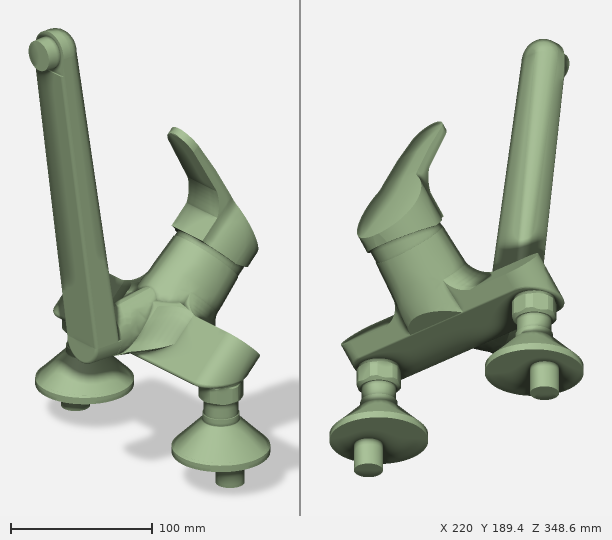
import cadquery as cq
import math


INLET_X = 75.0
PIPE_RADIUS = 10.3
PIPE_OFFSET = 10.0
PIPE_BOTTOM = -78.4
FLANGE_RADIUS = 35.0
FLANGE_BOTTOM = -58.2
FLANGE_RIM_TOP = -51.8
RIM_CHAMFER = 1.4
CONE_TOP_RADIUS = 14.2
CONE_TOP = -32.5
CONE_BASE_RADIUS = CONE_TOP_RADIUS + CONE_TOP - FLANGE_RIM_TOP
COLLAR_RADIUS = 13.2
COLLAR_TOP = -27.5
NECK_RADIUS = 12.3
NUT_FLATS = 30.0
NUT_ROUND_RADIUS = 16.0
NUT_TOP = -2.2
NUT_BOTTOM = -16.5
NUT_CHAMFER = 2.4
NUT_CHAMFER_TOP = 0.8
WASHER_RADIUS = 14.8

AXIS_SHIFT = 1.8
BARREL_START = 15.0
BARREL_START_RADIUS = 30.5
BARREL_END = 72.0
BARREL_END_RADIUS = 27.2
CARTRIDGE_RADIUS = 26.7
CARTRIDGE_END = 86.0
WING_RADIUS = 17.0
WING_END_X = 92.0
WING_START = -30.0
WING_TOP = 27.5
BLEND_TOP = 47.8
BLEND_TOP_RADIUS = 28.5
BLEND_FOOT_RADIUS = 44.0
BLEND_SAG = 0.3
BOTTOM_FILLET = 1.9

ARM_END_Y = -43.0
ARM_HALF_WIDTH = 16.8
ARM_HALF_HEIGHT = 17.0
ARM_ROOT_Y = 6.0
ARM_ROOT_Z = 21.0
ARM_ROOT_HALF_HEIGHT = 24.0
FLARE_HALF_WIDTH = 52.0
FLARE_END_HALF_WIDTH = 17.1
FLARE_HALF_HEIGHT = 18.5
FLARE_BEND = 0.3
FLARE_TOP = 45.0
FLARE_DEPTH = 13.5
FLARE_INNER_EDGE = -16.0

HANDLE_RADIUS = 28.9
CROWN_RADIUS = 120.0
CROWN_OVERHANG = 40.0
LEVER_ROOT_HALF_WIDTH = 17.0
LEVER_TIP_HALF_WIDTH = 14.0
LEVER_SHOULDER = -82.0
LEVER_END = -93.7
LEVER_BLEND = 8.0
SKIRT_FRONT = (31.6, 76.0)
SKIRT_BEND = (52.2, 56.4)
SKIRT_BACK = (77.8, 41.2)
CAP_BACK = (84.0, 46.9)
CAP_MIDDLE = (61.6, 99.3)
LEVER_TIP = (24.0, 160.0)
LEVER_TIP_MIDDLE = (21.2, 158.6)
LEVER_TIP_UNDER = (20.8, 155.0)
LEVER_ROOT_UNDER = (45.7, 110.0)
NECK_MIDDLE = (47.2, 101.0)
NECK_FRONT = (45.4, 89.8)

SPOUT_RADIUS = 16.7
SPOUT_ROOT_Z = 20.3
SPOUT_ROOT_BACK_Y = -43.0
SPOUT_ROOT_FRONT_Y = -66.2
SPOUT_ROOT_CORNER = 4.4
SPOUT_FRONT_CORNER = 2.2
HEAD_RADIUS = 15.6
HEAD_Z = 254.62
HEAD_BACK_Y = -77.4
HEAD_EDGE_Y = -98.6
HEAD_FACE_Y = -95.5
HEAD_FACE_BOTTOM_Z = 241.0
HEAD_CORNER = 11.4
NOZZLE_RADIUS = 12.2
NOZZLE_TIP_RADIUS = 11.2
NOZZLE_TIP_Y = -105.4

BIG = 400.0
EMBED = 5.0


def axis_point(distance):
    """Point on the leaning body axis."""
    along = distance / math.sqrt(2)
    return (0, along - AXIS_SHIFT, along + AXIS_SHIFT)


def tilted_plane(distance):
    """Plane square to the leaning body axis; its local Y points back and down."""
    return cq.Workplane(cq.Plane(origin=axis_point(distance), xDir=(1, 0, 0), normal=(0, 1, 1)))


def below(z):
    """Large block that fills the space under the given height."""
    return cq.Workplane("XY", origin=(0, 0, z - BIG / 2)).box(BIG, BIG, BIG)


def above(z):
    """Large block that fills the space over the given height."""
    return below(z + BIG)


def make_inlet(side):
    profile = [
        (0, FLANGE_BOTTOM),
        (FLANGE_RADIUS, FLANGE_BOTTOM),
        (FLANGE_RADIUS, FLANGE_RIM_TOP - RIM_CHAMFER),
        (FLANGE_RADIUS - RIM_CHAMFER, FLANGE_RIM_TOP),
        (CONE_BASE_RADIUS, FLANGE_RIM_TOP),
        (CONE_TOP_RADIUS, CONE_TOP),
        (COLLAR_RADIUS, CONE_TOP),
        (COLLAR_RADIUS, COLLAR_TOP),
        (NECK_RADIUS, COLLAR_TOP),
        (NECK_RADIUS, NUT_TOP),
        (WASHER_RADIUS, NUT_TOP),
        (WASHER_RADIUS, EMBED),
        (0, EMBED),
    ]
    turned = cq.Workplane("XZ").polyline(profile).close().revolve(360, (0, 0), (0, 1))
    nut_height = NUT_TOP - NUT_BOTTOM
    hexagon = cq.Workplane("XY", origin=(0, 0, NUT_BOTTOM))
    hexagon = hexagon.polygon(6, NUT_FLATS / math.cos(math.pi / 6)).extrude(nut_height)
    blank = cq.Workplane("XY", origin=(0, 0, NUT_BOTTOM)).circle(NUT_ROUND_RADIUS).extrude(nut_height)
    blank = blank.faces("<Z").chamfer(NUT_CHAMFER).faces(">Z").chamfer(NUT_CHAMFER_TOP)
    pipe = cq.Workplane("XY", origin=(side * PIPE_OFFSET, 0, PIPE_BOTTOM))
    pipe = pipe.circle(PIPE_RADIUS).extrude(FLANGE_BOTTOM - PIPE_BOTTOM + EMBED)
    inlet = turned.union(hexagon.intersect(blank)).union(pipe)
    return inlet.translate((side * INLET_X, 0, 0))


def make_barrel():
    """Tapered barrel around the cartridge, without the cartridge itself."""
    base = tilted_plane(BARREL_START).circle(BARREL_START_RADIUS)
    return base.workplane(offset=BARREL_END - BARREL_START).circle(BARREL_END_RADIUS).loft()


def wing_prism(start, end):
    """Length of the round-ended bar outline shared by both wings."""
    return tilted_plane(start).slot2D(2 * WING_END_X, 2 * WING_RADIUS).extrude(end - start)


def make_blend():
    """Concave skirt that leads from the wing tops into the barrel."""
    bend_radius = BLEND_TOP_RADIUS + BLEND_SAG * (BLEND_FOOT_RADIUS - BLEND_TOP_RADIUS)
    bend_height = BLEND_SAG * (BLEND_TOP - WING_TOP)
    plane = cq.Plane(origin=axis_point(WING_TOP), xDir=(1, 0, 0), normal=(0, -1, 1))
    skirt = (
        cq.Workplane(plane)
        .lineTo(BLEND_FOOT_RADIUS, 0)
        .threePointArc((bend_radius, bend_height), (BLEND_TOP_RADIUS, BLEND_TOP - WING_TOP))
        .lineTo(0, BLEND_TOP - WING_TOP)
        .close()
        .revolve(360, (0, 0), (0, 1))
    )
    return skirt.intersect(wing_prism(WING_TOP, BLEND_TOP))


def make_tapered_arm(half_width, root_half_width, root_half_height):
    """Horizontal elliptical arm that grows from the spout towards its root inside the body."""
    end = cq.Workplane("XZ", origin=(0, ARM_END_Y, SPOUT_ROOT_Z)).ellipse(half_width, ARM_HALF_HEIGHT)
    root = end.workplane(offset=ARM_END_Y - ARM_ROOT_Y).center(0, ARM_ROOT_Z - SPOUT_ROOT_Z)
    return root.ellipse(root_half_width, root_half_height).loft(ruled=True)


def make_flare():
    """Concave corners between the wings and the arm, running down the slope of the wing front."""
    tip = -WING_RADIUS - FLARE_DEPTH
    bend_x = ARM_HALF_WIDTH + FLARE_BEND * (FLARE_HALF_WIDTH - ARM_HALF_WIDTH)
    bend = -WING_RADIUS - FLARE_BEND * FLARE_DEPTH
    prism = (
        tilted_plane(WING_START)
        .moveTo(-FLARE_HALF_WIDTH, FLARE_INNER_EDGE)
        .lineTo(-FLARE_HALF_WIDTH, -WING_RADIUS)
        .threePointArc((-bend_x, bend), (-ARM_HALF_WIDTH, tip))
        .lineTo(ARM_HALF_WIDTH, tip)
        .threePointArc((bend_x, bend), (FLARE_HALF_WIDTH, -WING_RADIUS))
        .lineTo(FLARE_HALF_WIDTH, FLARE_INNER_EDGE)
        .close()
        .extrude(FLARE_TOP - WING_START)
    )
    return prism.intersect(make_tapered_arm(FLARE_END_HALF_WIDTH, FLARE_HALF_WIDTH, FLARE_HALF_HEIGHT))


def make_body():
    wings = wing_prism(WING_START, WING_TOP).cut(below(0))
    wings = wings.faces("<Z").edges().fillet(BOTTOM_FILLET)
    arm = make_tapered_arm(ARM_HALF_WIDTH, ARM_HALF_WIDTH, ARM_ROOT_HALF_HEIGHT)
    upper = make_barrel().union(make_blend()).union(arm).union(make_flare()).cut(below(0))
    cartridge = tilted_plane(BARREL_END - EMBED).circle(CARTRIDGE_RADIUS)
    return wings.union(upper).union(cartridge.extrude(CARTRIDGE_END - BARREL_END + EMBED))


def make_crown():
    """Barrel-shaped block whose skin gives the handle top its crosswise bulge."""
    rise_y = LEVER_TIP[0] - CAP_BACK[0]
    rise_z = LEVER_TIP[1] - CAP_BACK[1]
    chord = math.hypot(rise_y, rise_z)
    shift_y = -CROWN_RADIUS * rise_z / chord
    shift_z = CROWN_RADIUS * rise_y / chord
    overhang = CROWN_OVERHANG / chord
    axis_start = (CAP_BACK[0] + shift_y - overhang * rise_y, CAP_BACK[1] + shift_z - overhang * rise_z)
    axis_end = (LEVER_TIP[0] + shift_y, LEVER_TIP[1] + shift_z)
    half = cq.Workplane("YZ").moveTo(*CAP_BACK).threePointArc(CAP_MIDDLE, LEVER_TIP)
    return half.lineTo(*axis_end).lineTo(*axis_start).close().revolve(360, axis_start, axis_end)


def make_handle_side():
    """Side outline of the handle, stretched over the full handle width."""
    return (
        cq.Workplane("YZ", origin=(-HANDLE_RADIUS, 0, 0))
        .moveTo(*SKIRT_FRONT)
        .lineTo(*SKIRT_BEND)
        .lineTo(*SKIRT_BACK)
        .lineTo(*CAP_BACK)
        .threePointArc(CAP_MIDDLE, LEVER_TIP)
        .threePointArc(LEVER_TIP_MIDDLE, LEVER_TIP_UNDER)
        .lineTo(*LEVER_ROOT_UNDER)
        .threePointArc(NECK_MIDDLE, NECK_FRONT)
        .close()
        .extrude(2 * HANDLE_RADIUS)
    )


def make_lever_prism(length):
    """Tapered, round-tipped lever outline stretched along the body axis."""
    return (
        tilted_plane(0)
        .moveTo(-LEVER_ROOT_HALF_WIDTH, 0)
        .lineTo(-LEVER_ROOT_HALF_WIDTH, -HANDLE_RADIUS)
        .lineTo(-LEVER_TIP_HALF_WIDTH, LEVER_SHOULDER)
        .threePointArc((0, LEVER_END), (LEVER_TIP_HALF_WIDTH, LEVER_SHOULDER))
        .lineTo(LEVER_ROOT_HALF_WIDTH, -HANDLE_RADIUS)
        .lineTo(LEVER_ROOT_HALF_WIDTH, 0)
        .close()
        .extrude(length)
    )


def make_handle():
    length = BIG / 2
    grip = tilted_plane(0).circle(HANDLE_RADIUS).extrude(length)
    corner_y = -math.sqrt(HANDLE_RADIUS**2 - LEVER_ROOT_HALF_WIDTH**2)
    plan = grip.union(make_lever_prism(length))
    plan_plane = tilted_plane(length / 2).plane
    for corner_x in (-LEVER_ROOT_HALF_WIDTH, LEVER_ROOT_HALF_WIDTH):
        corner = plan_plane.toWorldCoords((corner_x, corner_y, 0))
        plan = plan.edges(cq.selectors.NearestToPointSelector(corner.toTuple())).fillet(LEVER_BLEND)
    return make_handle_side().intersect(plan).intersect(make_crown())


def spout_section(z, half_width, front_y, back_y, back_corner):
    """Horizontal rounded rectangle with small front corners and larger back corners."""
    front = SPOUT_FRONT_CORNER
    front_turn = front * (1 - math.sqrt(0.5))
    back_turn = back_corner * (1 - math.sqrt(0.5))
    outline = (
        cq.Workplane("XY", origin=(0, 0, z))
        .moveTo(front - half_width, front_y)
        .lineTo(half_width - front, front_y)
        .threePointArc((half_width - front_turn, front_y + front_turn), (half_width, front_y + front))
        .lineTo(half_width, back_y - back_corner)
        .threePointArc((half_width - back_turn, back_y - back_turn), (half_width - back_corner, back_y))
        .lineTo(back_corner - half_width, back_y)
        .threePointArc((back_turn - half_width, back_y - back_turn), (-half_width, back_y - back_corner))
        .lineTo(-half_width, front_y + front)
        .threePointArc((front_turn - half_width, front_y + front_turn), (front - half_width, front_y))
        .close()
    )
    return outline.wires().val()


def make_spout():
    root = spout_section(SPOUT_ROOT_Z, SPOUT_RADIUS, SPOUT_ROOT_FRONT_Y, SPOUT_ROOT_BACK_Y, SPOUT_ROOT_CORNER)
    head = spout_section(HEAD_Z, HEAD_RADIUS, HEAD_EDGE_Y, HEAD_BACK_Y, HEAD_CORNER)
    spout = cq.Workplane(cq.Solid.makeLoft([root, head], True))

    foot = cq.Workplane("XZ", origin=(0, SPOUT_ROOT_BACK_Y, SPOUT_ROOT_Z)).circle(SPOUT_RADIUS)
    foot = foot.extrude(SPOUT_ROOT_BACK_Y - SPOUT_ROOT_FRONT_Y).faces("<Y").edges().fillet(SPOUT_FRONT_CORNER)

    cap = cq.Workplane("XZ", origin=(0, HEAD_BACK_Y, HEAD_Z)).circle(HEAD_RADIUS)
    cap = cap.extrude(HEAD_BACK_Y - HEAD_EDGE_Y).faces(">Y").edges().fillet(HEAD_CORNER)
    spout = spout.union(foot.cut(above(SPOUT_ROOT_Z))).union(cap.cut(below(HEAD_Z)))

    face_cut = cq.Workplane("XY", origin=(0, HEAD_FACE_Y - BIG / 2, HEAD_FACE_BOTTOM_Z + BIG / 2))
    spout = spout.cut(face_cut.box(BIG, BIG, BIG))
    nozzle = cq.Workplane("XZ", origin=(0, HEAD_FACE_Y + EMBED, HEAD_Z)).circle(NOZZLE_RADIUS)
    nozzle = nozzle.workplane(offset=HEAD_FACE_Y + EMBED - NOZZLE_TIP_Y).circle(NOZZLE_TIP_RADIUS).loft()
    return spout.union(nozzle)


result = make_body().union(make_handle()).union(make_spout())
for side in (-1, 1):
    result = result.union(make_inlet(side))